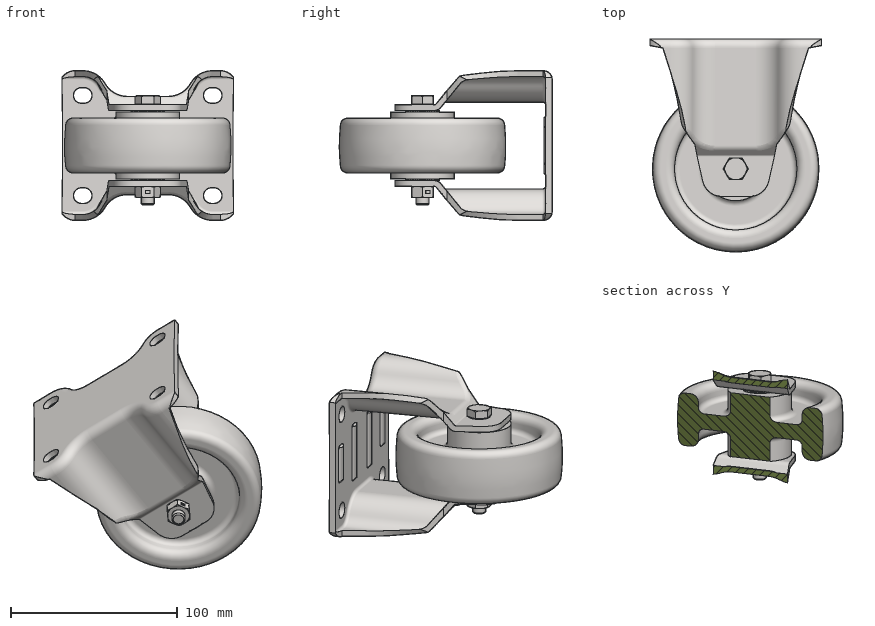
import cadquery as cq
import math


WHEEL_RADIUS = 50.0
CROWN = 0.6
WHEEL_WIDTH = 33.0
SHOULDER_HALF_WIDTH = 12.3
RIM_OUTER_RADIUS = 44.5
RIM_INNER_RADIUS = 41.8
RECESS_RADIUS = 36.7
RECESS_FILLET = 3.2
WEB_THICKNESS = 9.8
HUB_RADIUS = 19.2
HUB_WIDTH = 40.0
HUB_FILLET = 3.3

BOLT_DIAMETER = 7.9
BOLT_END_Z = -35.6
BOLT_END_CHAMFER = 0.8
HEX_FLATS = 13.0
HEX_CORNERS = HEX_FLATS / math.cos(math.pi / 6)
HEX_CHAMFER_HEIGHT = 0.5
HEX_CHAMFER_ANGLE = math.radians(30)
HEAD_HEIGHT = 5.4
HEAD_COLLAR_HEIGHT = 0.5
NUT_HEIGHT = 6.8
NUT_MARK_WIDTH = 2.8
NUT_MARK_HEIGHT = 1.7
NUT_MARK_DEPTH = 0.3
WASHER_RADIUS = 10.1
WASHER_TOOTH_DEPTH = 0.4
WASHER_TEETH = 48

BACK_Y = 77.8
PLATE_THICKNESS = 4.0
ARM_THICKNESS = 3.6
ARM_GAP = 41.9
BRACKET_HEIGHT = 89.8
BRACKET_WIDTH = 103.1
PLATE_WAIST = 102.2
CHANNEL_FLOOR_Z = 29.5
CHANNEL_FLOOR_HALF = 12.4
CREST_X = 38.8
PAD_BEND_Y = 7.8
SLOPE_ANGLE = math.radians(51)
BACK_BEND_RADIUS = 5.5
BACK_BEND_INNER_RADIUS = BACK_BEND_RADIUS - ARM_THICKNESS
SLOPE_FILLET = 3.8
PAD_BEND_INNER_RADIUS = 1.3
PAD_BEND_OUTER_RADIUS = PAD_BEND_INNER_RADIUS + ARM_THICKNESS
PAD_END_Y = -16.6
PAD_CORNER_RADIUS = 11.8
SLOT_SPACING_X = 77.9
SLOT_SPACING_Z = 60.0
SLOT_LENGTH = 11.0
SLOT_WIDTH = 9.2

RIB_HEIGHT = 1.1
RIB_WIDTH = 8.7
RIB_TOP_WIDTH = 2.5
RIB_END_RUN = 1.3
RIB_CORNER_RADIUS = 2.3
RIB_PATTERN_X = -1.1
RIB_LAYOUT = ((14.4, 35.4), (40.0, 23.2))

HUB_FACE_Z = HUB_WIDTH / 2
PAD_INNER_Z = ARM_GAP / 2
PAD_OUTER_Z = PAD_INNER_Z + ARM_THICKNESS
CREST_Z = BRACKET_HEIGHT / 2
PLATE_FRONT_Y = BACK_Y - PLATE_THICKNESS
REACH = 63.9
MARGIN = 0.1


FLANK_START = (38.8, 57.0)
FLANK_END = (29.5, 21.5)
SIDE_OUTLINE = [
    (REACH, BACK_Y),
    (REACH, PLATE_FRONT_Y),
    (BRACKET_WIDTH / 2, PLATE_FRONT_Y),
    (43.7, BACK_Y - BACK_BEND_RADIUS),
    FLANK_START,
    (34.4, 35.9),
    (32.2, 25.9),
    FLANK_END,
    (24.5, 14.5),
    (23.1, 7.4),
    (17.8, PAD_END_Y),
]


def make_wheel():
    """Disc with a crowned tread, hollowed on both sides around the hub."""
    half = WHEEL_WIDTH / 2
    shoulder_radius = WHEEL_RADIUS - CROWN
    diag = math.sqrt(0.5)
    edge_round = (
        RIM_OUTER_RADIUS + (shoulder_radius - RIM_OUTER_RADIUS) * diag,
        SHOULDER_HALF_WIDTH + (half - SHOULDER_HALF_WIDTH) * diag,
    )
    wheel = (
        cq.Workplane("XZ")
        .moveTo(0, -HUB_FACE_Z)
        .lineTo(HUB_RADIUS, -HUB_FACE_Z)
        .lineTo(HUB_RADIUS, -half)
        .lineTo(RIM_OUTER_RADIUS, -half)
        .threePointArc((edge_round[0], -edge_round[1]), (shoulder_radius, -SHOULDER_HALF_WIDTH))
        .threePointArc((WHEEL_RADIUS, 0), (shoulder_radius, SHOULDER_HALF_WIDTH))
        .threePointArc(edge_round, (RIM_OUTER_RADIUS, half))
        .lineTo(HUB_RADIUS, half)
        .lineTo(HUB_RADIUS, HUB_FACE_Z)
        .lineTo(0, HUB_FACE_Z)
        .close()
        .revolve(360, (0, 0, 0), (0, 1, 0))
    )
    recess = wheel_recess()
    bore = cq.Workplane("XY").circle(BOLT_DIAMETER / 2).extrude(HUB_WIDTH, both=True)
    return wheel.cut(recess).cut(recess.mirror("XY")).cut(bore)


def wheel_recess():
    """Ring-shaped space between the hub and the rounded inside of the rim."""
    half = WHEEL_WIDTH / 2
    web = WEB_THICKNESS / 2
    rim_round = RIM_INNER_RADIUS - RECESS_RADIUS
    return (
        cq.Workplane("XZ")
        .moveTo(HUB_RADIUS, half)
        .lineTo(HUB_RADIUS, web + HUB_FILLET)
        .radiusArc((HUB_RADIUS + HUB_FILLET, web), -HUB_FILLET)
        .lineTo(RECESS_RADIUS - RECESS_FILLET, web)
        .radiusArc((RECESS_RADIUS, web + RECESS_FILLET), -RECESS_FILLET)
        .lineTo(RECESS_RADIUS, half - rim_round)
        .radiusArc((RIM_INNER_RADIUS, half), rim_round)
        .close()
        .revolve(360, (0, 0, 0), (0, 1, 0))
    )


def hex_prism(bottom_z, height):
    """Hexagon with corners on the X axis."""
    return cq.Workplane("XY", origin=(0, 0, bottom_z)).polygon(6, HEX_CORNERS).extrude(height)


def chamfer_cone(end_z, depth_direction):
    """Cone that bevels the corners of a hexagon at end_z; it widens along depth_direction."""
    slope = math.tan(HEX_CHAMFER_ANGLE)
    length = HEX_CORNERS
    tip_radius = HEX_CORNERS / 2 - HEX_CHAMFER_HEIGHT / slope
    return (
        cq.Workplane("XZ")
        .moveTo(0, end_z)
        .lineTo(tip_radius, end_z)
        .lineTo(tip_radius + length / slope, end_z + depth_direction * length)
        .lineTo(0, end_z + depth_direction * length)
        .close()
        .revolve(360, (0, 0, 0), (0, 1, 0))
    )


def make_bolt():
    head_top = PAD_OUTER_Z + HEAD_HEIGHT
    head = hex_prism(PAD_OUTER_Z + HEAD_COLLAR_HEIGHT, HEAD_HEIGHT - HEAD_COLLAR_HEIGHT)
    head = head.intersect(chamfer_cone(head_top, -1))
    collar = (
        cq.Workplane("XY", origin=(0, 0, PAD_OUTER_Z))
        .circle(HEX_FLATS / 2)
        .extrude(HEAD_COLLAR_HEIGHT)
    )
    shank = (
        cq.Workplane("XY", origin=(0, 0, BOLT_END_Z))
        .circle(BOLT_DIAMETER / 2)
        .extrude(PAD_OUTER_Z - BOLT_END_Z)
        .faces("<Z")
        .chamfer(BOLT_END_CHAMFER)
    )
    return shank.union(collar).union(head)


def make_nut():
    bottom = -PAD_OUTER_Z - NUT_HEIGHT
    nut = hex_prism(bottom, NUT_HEIGHT)
    nut = nut.intersect(chamfer_cone(bottom, 1)).intersect(chamfer_cone(-PAD_OUTER_Z, -1))
    mark = cq.Workplane("XY").box(NUT_MARK_WIDTH, 2 * NUT_MARK_DEPTH, NUT_MARK_HEIGHT)
    mark = mark.translate((0, -HEX_FLATS / 2, bottom + NUT_HEIGHT / 2))
    for turn in (0, 120, 240):
        nut = nut.cut(mark.rotate((0, 0, 0), (0, 0, 1), turn))
    shank = cq.Workplane("XY", origin=(0, 0, bottom)).circle(BOLT_DIAMETER / 2).extrude(NUT_HEIGHT)
    return nut.cut(shank)


def make_washer(side):
    """Serrated washer between the hub and the pad; side is +1 or -1 along Z."""
    points = []
    for i in range(2 * WASHER_TEETH):
        radius = WASHER_RADIUS - WASHER_TOOTH_DEPTH * (i % 2)
        angle = math.pi * i / WASHER_TEETH
        points.append((radius * math.cos(angle), radius * math.sin(angle)))
    return (
        cq.Workplane("XY", origin=(0, 0, side * HUB_FACE_Z))
        .polyline(points)
        .close()
        .circle(BOLT_DIAMETER / 2)
        .extrude(side * (PAD_INNER_Z - HUB_FACE_Z))
    )


def wave_prism(inset, end_y):
    """Solid under the wavy face of the upper arm, lowered by inset, up to end_y."""
    run = CREST_X - CHANNEL_FLOOR_HALF
    rise = CREST_Z - CHANNEL_FLOOR_Z
    radius = (run**2 + rise**2) / (4 * rise)
    angle = math.asin(run / 2 / radius)
    valley_radius = radius + inset
    crest_radius = radius - inset

    def valley(a):
        return (
            CHANNEL_FLOOR_HALF + valley_radius * math.sin(a),
            CHANNEL_FLOOR_Z + radius - valley_radius * math.cos(a),
        )

    def crest(a):
        return (
            CREST_X - crest_radius * math.sin(a),
            CREST_Z - radius + crest_radius * math.cos(a),
        )

    def mirrored(point):
        return (-point[0], point[1])

    return (
        cq.Workplane("XZ", origin=(0, end_y, 0))
        .moveTo(-REACH, 0)
        .lineTo(-REACH, CREST_Z - inset)
        .lineTo(*mirrored(crest(0)))
        .threePointArc(mirrored(crest(angle / 2)), mirrored(crest(angle)))
        .threePointArc(mirrored(valley(angle / 2)), mirrored(valley(0)))
        .lineTo(*valley(0))
        .threePointArc(valley(angle / 2), valley(angle))
        .threePointArc(crest(angle / 2), crest(0))
        .lineTo(REACH, CREST_Z - inset)
        .lineTo(REACH, 0)
        .close()
        .extrude(end_y - PAD_END_Y)
    )


def slope_prism(inset, pad_bend_radius):
    """Side profile of the upper arm: pad, bend and slope, lowered by inset."""
    pad_z = PAD_OUTER_Z - inset
    bend_y = PAD_BEND_Y + inset * math.tan(SLOPE_ANGLE / 2)
    slope_top_y = bend_y + (REACH - pad_z) / math.tan(SLOPE_ANGLE)
    return (
        cq.Workplane("YZ", origin=(-REACH, 0, 0))
        .polyline(
            [
                (PAD_END_Y, 0),
                (PAD_END_Y, pad_z),
                (bend_y, pad_z),
                (slope_top_y, REACH),
                (BACK_Y, REACH),
                (BACK_Y, 0),
            ]
        )
        .close()
        .extrude(2 * REACH)
        .edges(cq.selectors.NearestToPointSelector((0, bend_y, pad_z)))
        .fillet(pad_bend_radius)
    )


def arm_body(inset, end_y, back_radius, pad_bend_radius):
    """Region under the upper arm, rounded where it meets the plate."""
    top_edges = cq.selectors.BoxSelector(
        (-REACH, end_y - MARGIN, MARGIN), (REACH, end_y + MARGIN, REACH)
    )
    wave = wave_prism(inset, end_y).edges(top_edges).edges("not |Z").fillet(back_radius)
    return wave.intersect(slope_prism(inset, pad_bend_radius))


def make_upper_arm():
    outer = arm_body(0, BACK_Y, BACK_BEND_RADIUS, PAD_BEND_INNER_RADIUS)
    slope_mid = (
        0,
        PAD_BEND_Y + (CHANNEL_FLOOR_Z - PAD_OUTER_Z) / math.tan(SLOPE_ANGLE),
        CHANNEL_FLOOR_Z,
    )
    outer = outer.edges(cq.selectors.NearestToPointSelector(slope_mid)).fillet(SLOPE_FILLET)
    inner = arm_body(ARM_THICKNESS, PLATE_FRONT_Y, BACK_BEND_INNER_RADIUS, PAD_BEND_OUTER_RADIUS)
    return outer.cut(inner)


def side_trim():
    """Prism along Z that gives the arms their tapered outline."""
    left = [(-x, y) for x, y in reversed(SIDE_OUTLINE)]
    end_corners = cq.selectors.BoxSelector(
        (-REACH, PAD_END_Y - MARGIN, -REACH), (REACH, PAD_END_Y + MARGIN, REACH)
    )
    return (
        cq.Workplane("XY", origin=(0, 0, -REACH))
        .polyline(SIDE_OUTLINE + left)
        .close()
        .extrude(2 * REACH)
        .edges("|Z")
        .edges(end_corners)
        .fillet(PAD_CORNER_RADIUS)
    )


def flank_cutter():
    """Wedge that turns the narrowing edge of the upper arm square to its sheet."""
    lower_z = 17.9
    lower_x = 48.0
    upper_z = 48.5
    upper_x = 24.4
    start_x, start_y = FLANK_START
    end_y = FLANK_END[1]

    def section(end_x):
        return [(start_x, start_y), (end_x, end_y), (REACH, end_y), (REACH, start_y)]

    return (
        cq.Workplane("XY", origin=(0, 0, lower_z))
        .polyline(section(lower_x))
        .close()
        .workplane(offset=upper_z - lower_z)
        .polyline(section(upper_x))
        .close()
        .loft(ruled=True)
    )


def plate_outline():
    """Prism along Y with the rounded corners and slightly waisted sides of the plate."""
    side_x = BRACKET_WIDTH / 2
    side_z = 40.7
    arc_x, arc_z = 48.8, 43.3
    top_x = 44.5
    waist = PLATE_WAIST / 2
    return (
        cq.Workplane("XZ", origin=(0, BACK_Y, 0))
        .moveTo(-top_x, CREST_Z)
        .lineTo(top_x, CREST_Z)
        .threePointArc((arc_x, arc_z), (side_x, side_z))
        .threePointArc((waist, 0), (side_x, -side_z))
        .threePointArc((arc_x, -arc_z), (top_x, -CREST_Z))
        .lineTo(-top_x, -CREST_Z)
        .threePointArc((-arc_x, -arc_z), (-side_x, -side_z))
        .threePointArc((-waist, 0), (-side_x, side_z))
        .threePointArc((-arc_x, arc_z), (-top_x, CREST_Z))
        .close()
        .extrude(BACK_Y - PAD_END_Y)
    )


def rib(x, length):
    """Raised rib on the plate with rounded sides, sloping ends and rounded corners."""
    top = PLATE_FRONT_Y - RIB_HEIGHT
    side_run = (RIB_WIDTH - RIB_TOP_WIDTH) / 2
    side_radius = (side_run**2 + RIB_HEIGHT**2) / (2 * RIB_HEIGHT)
    section = (
        cq.Workplane("XY", origin=(x, 0, -length / 2))
        .moveTo(-RIB_WIDTH / 2, PLATE_FRONT_Y)
        .radiusArc((-RIB_TOP_WIDTH / 2, top), -side_radius)
        .lineTo(RIB_TOP_WIDTH / 2, top)
        .radiusArc((RIB_WIDTH / 2, PLATE_FRONT_Y), -side_radius)
        .close()
        .extrude(length)
    )
    ends = (
        cq.Workplane("YZ", origin=(x - RIB_WIDTH / 2, 0, 0))
        .polyline(
            [
                (PLATE_FRONT_Y, -length / 2),
                (top, -length / 2 + RIB_END_RUN),
                (top, length / 2 - RIB_END_RUN),
                (PLATE_FRONT_Y, length / 2),
            ]
        )
        .close()
        .extrude(RIB_WIDTH)
    )
    footprint = (
        cq.Workplane("XZ", origin=(x, PLATE_FRONT_Y, 0))
        .rect(RIB_WIDTH, length)
        .extrude(RIB_HEIGHT)
        .edges("|Y")
        .fillet(RIB_CORNER_RADIUS)
    )
    return section.intersect(ends).intersect(footprint)


def make_bracket():
    upper = make_upper_arm()
    cutter = flank_cutter()
    upper = upper.cut(cutter).cut(cutter.mirror("YZ"))
    bracket = upper.union(upper.mirror("XY"))
    bracket = bracket.intersect(side_trim()).intersect(plate_outline())
    for distance, length in RIB_LAYOUT:
        for side in (-1, 1):
            bracket = bracket.union(rib(RIB_PATTERN_X + side * distance, length))
    slots = (
        cq.Workplane("XZ", origin=(0, BACK_Y, 0))
        .rarray(SLOT_SPACING_X, SLOT_SPACING_Z, 2, 2)
        .slot2D(SLOT_LENGTH, SLOT_WIDTH)
        .extrude(PLATE_THICKNESS)
    )
    bolt_hole = cq.Workplane("XY").circle(BOLT_DIAMETER / 2).extrude(REACH, both=True)
    return bracket.cut(slots).cut(bolt_hole)


wheel = make_wheel()
bolt = make_bolt()
nut = make_nut()
washers = [make_washer(side) for side in (1, -1)]
bracket = make_bracket()

result = cq.Compound.makeCompound(
    [bracket.val(), wheel.val(), bolt.val(), nut.val(), *[washer.val() for washer in washers]]
)